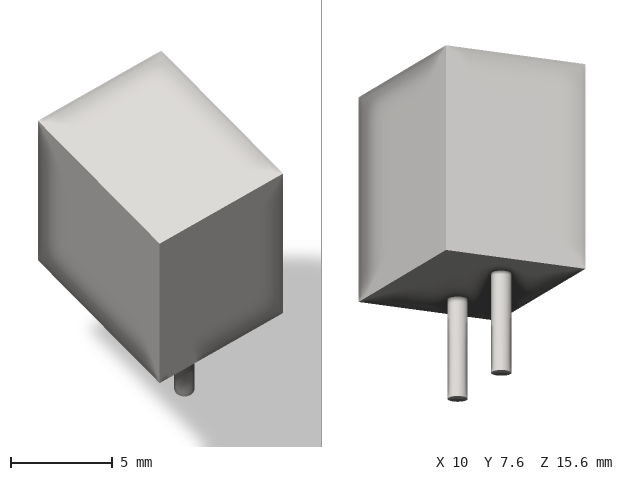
import cadquery as cq

total_height = 15.62
housing_length = 10.0
housing_width = 7.6
housing_height = 10.51

pin_diameter = 1.0
pin_length = total_height - housing_height
pin_spacing = housing_length / 2
pin_offset_y = -0.4


def make_housing():
    """Plain block with its underside at Z = 0."""
    return cq.Workplane("XY").box(
        housing_length, housing_width, housing_height, centered=(True, True, False)
    )


def make_pin(x):
    """Round pin hanging from the underside of the housing."""
    return (
        cq.Workplane("XY")
        .center(x, pin_offset_y)
        .circle(pin_diameter / 2)
        .extrude(-pin_length)
    )


housing = make_housing()
pins = [make_pin(side * pin_spacing / 2) for side in (-1, 1)]

result = cq.Compound.makeCompound([housing.val(), *[pin.val() for pin in pins]])